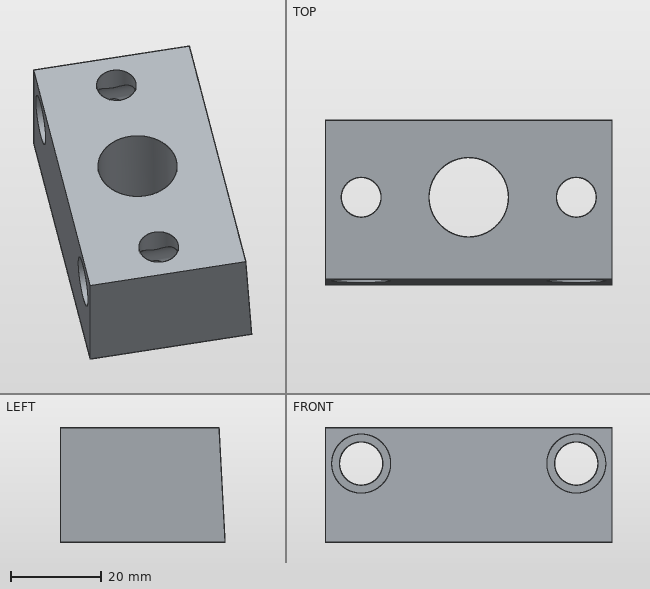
import cadquery as cq

width = 63.5
base_depth = 36.5
top_depth = 35.2
height = 25.4

hole_spacing = 47.6

bolt_drop = 7.95
bolt_diameter = 9.5
front_counterbore_diameter = 13.1
back_counterbore_diameter = 11.0
counterbore_depth = 10.05

vertical_inset = 17.1
centre_diameter = 17.5
side_diameter = 8.75

side_x = hole_spacing / 2
bolt_z = height - bolt_drop

depth_at_bolt = base_depth - (base_depth - top_depth) * bolt_z / height
front_floor = depth_at_bolt - counterbore_depth

side_profile = [
    (0, 0),
    (-base_depth, 0),
    (-top_depth, height),
    (0, height),
]


def vertical_hole(x, diameter):
    """Cutter for a hole through the full height."""
    return (
        cq.Workplane("XY")
        .center(x, -vertical_inset)
        .circle(diameter / 2)
        .extrude(height)
    )


def bolt_cylinder(x, diameter, start, end):
    """Cylinder on a bolt axis between two distances from the back face."""
    return (
        cq.Workplane("XZ", origin=(0, -start, 0))
        .center(x, bolt_z)
        .circle(diameter / 2)
        .extrude(end - start)
    )


def bolt_hole(x):
    """Cutter for a front-to-back hole, counterbored at both ends."""
    bore = bolt_cylinder(x, bolt_diameter, 0, base_depth)
    back = bolt_cylinder(x, back_counterbore_diameter, 0, counterbore_depth)
    front = bolt_cylinder(x, front_counterbore_diameter, front_floor, base_depth)
    return bore.union(back).union(front)


block = cq.Workplane("YZ").polyline(side_profile).close().extrude(width / 2, both=True)

result = block.cut(vertical_hole(0, centre_diameter))
for x in (-side_x, side_x):
    result = result.cut(vertical_hole(x, side_diameter))
    result = result.cut(bolt_hole(x))